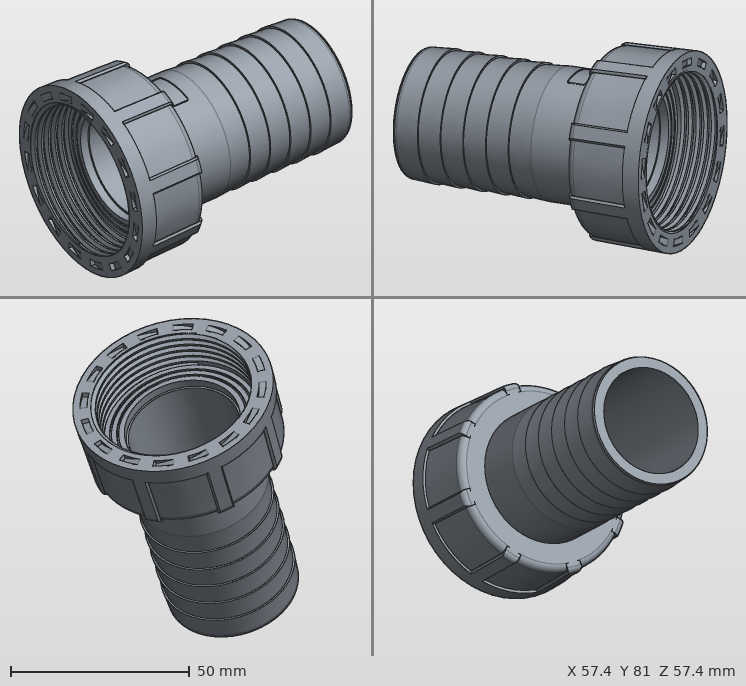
import cadquery as cq
import math


LENGTH = 81.0
STEM_RADIUS = 38.5 / 2
BARB_ROOT_RADIUS = 37.35 / 2
TIP_RADIUS = 37.5 / 2
TIP_LAND = 1.1
TIP_CHAMFER = 0.25
BARB_COUNT = 6
BARB_PITCH = 7.05
FIRST_BARB_Y = 37.9
STEM_BORE_RADIUS = 15.95
STEM_TIP_BORE_RADIUS = 15.5
COLLAR_RADIUS = 44.5 / 2

LABEL_WIDTH = 13.4
LABEL_LENGTH = 5.5
LABEL_CENTER_Y = 30.0
LABEL_CORNER_RADIUS = 0.6
LABEL_DEPTH = 0.3

GASKET_FACE_Y = 12.3
GASKET_THICKNESS = 2.6
GASKET_BORE_RADIUS = 33.1 / 2
GROOVE_DEPTH = 0.4
GROOVE_INNER_DIAMETERS = [36.4, 40.5]
GROOVE_WIDTH = 0.61
GROOVE_FLOOR_WIDTH = 0.4

NUT_RADIUS = 57.4 / 2
NUT_LENGTH = 23.0
NUT_TAPER = 0.03
FLANGE_LENGTH = 5.0
PANEL_DEPTH = 0.8
RIB_TOP_ROUND = 1.6
PANEL_TOP_ROUND = 2.1
RIB_COUNT = 8
RIB_TOP_WIDTH = 3.8
RIB_BASE_WIDTH = 4.9
RIB_OVERRUN = 4.05
LIP_THICKNESS = 4.05

THREAD_MINOR_RADIUS = 44.9 / 2
THREAD_MAJOR_RADIUS = 23.6
THREAD_PITCH = 2.35
THREAD_ROOT_WIDTH = 0.5
THREAD_FLANK_ANGLE = 27.5
THREAD_OVERRUN = 0.4
THREAD_START_ANGLE = 165.0

SLOT_COUNT = 16
SLOT_INNER_RADIUS = 24.6
SLOT_OUTER_RADIUS = 26.65
SLOT_SWEEP = 12.6
SLOT_FLOOR_SWEEP = 11.8
SLOT_DEPTH = 1.2

collar_face_y = GASKET_FACE_Y + GASKET_THICKNESS
lip_y = NUT_LENGTH - LIP_THICKNESS


def revolve_about_y(profile):
    """Turn a closed radius-height profile into a solid of revolution about Y."""
    return profile.close().revolve(360, (0, 0, 0), (0, 1, 0))


def ring(inner_radius, outer_radius, start_y, length):
    """Tube along Y, or a plain cylinder when the inner radius is zero."""
    return revolve_about_y(
        cq.Workplane("XY")
        .moveTo(inner_radius, start_y)
        .lineTo(outer_radius, start_y)
        .lineTo(outer_radius, start_y + length)
        .lineTo(inner_radius, start_y + length)
    )


def make_stem():
    profile = (
        cq.Workplane("XY")
        .moveTo(STEM_BORE_RADIUS, collar_face_y)
        .lineTo(COLLAR_RADIUS, collar_face_y)
        .lineTo(COLLAR_RADIUS, lip_y)
        .lineTo(STEM_RADIUS, lip_y)
    )
    for barb in range(BARB_COUNT):
        peak_y = FIRST_BARB_Y + barb * BARB_PITCH
        profile = profile.lineTo(STEM_RADIUS, peak_y)
        if barb < BARB_COUNT - 1:
            profile = profile.lineTo(BARB_ROOT_RADIUS, peak_y + BARB_PITCH)
    profile = (
        profile.lineTo(TIP_RADIUS, LENGTH - TIP_LAND)
        .lineTo(TIP_RADIUS, LENGTH - TIP_LAND / 2)
        .lineTo(TIP_RADIUS - TIP_CHAMFER, LENGTH)
        .lineTo(STEM_TIP_BORE_RADIUS, LENGTH)
    )
    return revolve_about_y(profile).cut(make_label_pocket())


def make_label_pocket():
    outline = (
        cq.Workplane("XY", origin=(0, LABEL_CENTER_Y, 0))
        .rect(LABEL_WIDTH, LABEL_LENGTH)
        .extrude(STEM_RADIUS)
        .edges("|Z")
        .fillet(LABEL_CORNER_RADIUS)
    )
    start_y = LABEL_CENTER_Y - LABEL_LENGTH / 2
    return outline.intersect(ring(STEM_RADIUS - LABEL_DEPTH, STEM_RADIUS, start_y, LABEL_LENGTH))


def make_gasket():
    gasket = ring(GASKET_BORE_RADIUS, COLLAR_RADIUS, GASKET_FACE_Y, GASKET_THICKNESS)
    groove_draft = (GROOVE_WIDTH - GROOVE_FLOOR_WIDTH) / 2
    for inner_diameter in GROOVE_INNER_DIAMETERS:
        inner_radius = inner_diameter / 2
        groove = revolve_about_y(
            cq.Workplane("XY")
            .moveTo(inner_radius, GASKET_FACE_Y)
            .lineTo(inner_radius + GROOVE_WIDTH, GASKET_FACE_Y)
            .lineTo(inner_radius + GROOVE_WIDTH - groove_draft, GASKET_FACE_Y + GROOVE_DEPTH)
            .lineTo(inner_radius + groove_draft, GASKET_FACE_Y + GROOVE_DEPTH)
        )
        gasket = gasket.cut(groove)
    return gasket


def tapered_blank(base_radius, top_round):
    """Solid tapered plug as long as the nut, with its rear edge rounded."""
    blank = revolve_about_y(
        cq.Workplane("XY")
        .lineTo(base_radius, 0)
        .lineTo(base_radius - NUT_TAPER * NUT_LENGTH, NUT_LENGTH)
        .lineTo(0, NUT_LENGTH)
    )
    return blank.faces(">Y").edges().fillet(top_round)


def make_ribs(outer_blank):
    """Grip ribs with sloping sides, half a rib spacing away from the Z axis."""
    base_z = NUT_RADIUS - PANEL_DEPTH
    low_z = base_z - PANEL_TOP_ROUND
    low_half = RIB_BASE_WIDTH / 2
    high_half = RIB_TOP_WIDTH / 2
    rib = (
        cq.Workplane("XZ")
        .polyline([
            (-low_half, low_z),
            (low_half, low_z),
            (low_half, base_z),
            (high_half, NUT_RADIUS),
            (-high_half, NUT_RADIUS),
            (-low_half, base_z),
        ])
        .close()
        .extrude(NUT_LENGTH + RIB_OVERRUN, both=True)
        .rotate((0, 0, 0), (1, 0, 0), -math.degrees(math.atan(NUT_TAPER)))
    )
    spacing = 360 / RIB_COUNT
    ribs = [rib.rotate((0, 0, 0), (0, 1, 0), (index + 0.5) * spacing) for index in range(RIB_COUNT)]
    return [one.intersect(outer_blank) for one in ribs]


def make_thread_groove():
    """Helical V groove, built along Z and then laid along Y."""
    inner_radius = THREAD_MINOR_RADIUS - THREAD_OVERRUN
    root_half = THREAD_ROOT_WIDTH / 2
    flank_rise = (THREAD_MAJOR_RADIUS - inner_radius) * math.tan(math.radians(THREAD_FLANK_ANGLE))
    mouth_half = root_half + flank_rise
    start_z = -THREAD_PITCH
    helix = cq.Wire.makeHelix(THREAD_PITCH, GASKET_FACE_Y - start_z, inner_radius)
    helix = helix.translate(cq.Vector(0, 0, start_z))
    groove = (
        cq.Workplane("XZ")
        .polyline([
            (inner_radius, start_z - mouth_half),
            (THREAD_MAJOR_RADIUS, start_z - root_half),
            (THREAD_MAJOR_RADIUS, start_z + root_half),
            (inner_radius, start_z + mouth_half),
        ])
        .close()
        .sweep(cq.Workplane(helix), isFrenet=True)
    )
    return groove.rotate((0, 0, 0), (1, 0, 0), -90).rotate((0, 0, 0), (0, 1, 0), -THREAD_START_ANGLE)


def slot_section(radius):
    """Points of the slot's triangular section at a given distance from the axis."""
    floor_run = radius * math.tan(math.radians(SLOT_FLOOR_SWEEP))
    end_run = radius * math.tan(math.radians(SLOT_SWEEP))
    return [(0, 0), (end_run, 0), (floor_run, SLOT_DEPTH)]


def make_slot():
    """One slot starting above the axis, its floor sinking clockwise to a steep end wall."""
    start_radius = SLOT_INNER_RADIUS * math.cos(math.radians(SLOT_SWEEP))
    wedge = (
        cq.Workplane("XY", origin=(0, 0, start_radius))
        .polyline(slot_section(start_radius))
        .close()
        .workplane(offset=SLOT_OUTER_RADIUS - start_radius)
        .polyline(slot_section(SLOT_OUTER_RADIUS))
        .close()
        .loft(ruled=True)
    )
    return wedge.intersect(ring(SLOT_INNER_RADIUS, SLOT_OUTER_RADIUS, 0, SLOT_DEPTH))


def make_nut():
    outer_blank = tapered_blank(NUT_RADIUS, RIB_TOP_ROUND)
    flange = outer_blank.intersect(ring(STEM_RADIUS, NUT_RADIUS, 0, FLANGE_LENGTH))
    nut = tapered_blank(NUT_RADIUS - PANEL_DEPTH, PANEL_TOP_ROUND).union(flange)
    for rib in make_ribs(outer_blank):
        nut = nut.union(rib)
    nut = nut.cut(ring(0, STEM_RADIUS, 0, NUT_LENGTH)).cut(ring(0, THREAD_MINOR_RADIUS, 0, lip_y))
    slot = make_slot()
    for index in range(SLOT_COUNT):
        nut = nut.cut(slot.rotate((0, 0, 0), (0, 1, 0), index * 360 / SLOT_COUNT))
    return nut.cut(make_thread_groove())


stem = make_stem()
gasket = make_gasket()
nut = make_nut()

result = cq.Compound.makeCompound([stem.val(), gasket.val(), nut.val()])